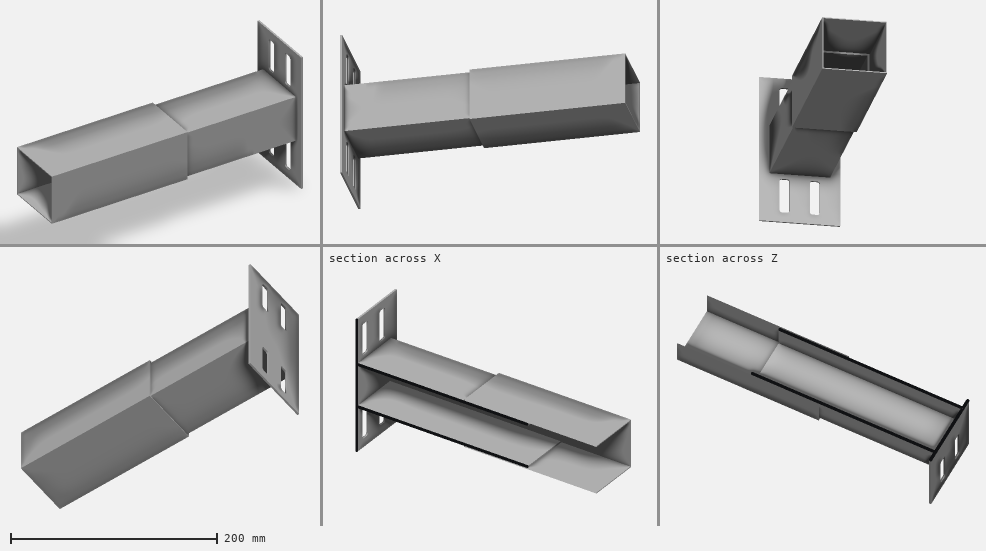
import cadquery as cq

overall_length = 282.0
plate_width = 80.0
plate_height = 150.0
plate_thickness = 2.0

slot_width = 10.0
slot_height = 35.0
slot_corner_radius = 2.5
slot_column_spacing = 30.0
slot_row_spacing = 95.0

tube_width = 60.0
tube_height = 50.0
tube_wall = 2.0
tube_exposed_length = 125.0
tube_insertion = 75.0

sleeve_wall = 1.0
sleeve_clearance = 1.0
sleeve_bore_width = tube_width + 2 * sleeve_clearance
sleeve_bore_height = tube_height + 2 * sleeve_clearance
sleeve_width = sleeve_bore_width + 2 * sleeve_wall
sleeve_height = sleeve_bore_height + 2 * sleeve_wall
sleeve_length = overall_length - plate_thickness - tube_exposed_length

plate_front = overall_length - plate_thickness
tube_length = tube_exposed_length + tube_insertion


def block(width, length, height, start):
    """A box centred in X and Z that runs along +Y from start."""
    return cq.Workplane("XY").box(width, length, height, centered=(True, False, True)).translate((0, start, 0))


def make_slots():
    """The four rounded slots as cutting bodies."""
    slots = cq.Workplane("XY")
    for column in (-1, 1):
        for row in (-1, 1):
            slot = block(slot_width, plate_thickness, slot_height, plate_front)
            slot = slot.edges("|Y").fillet(slot_corner_radius)
            slots = slots.add(
                slot.translate((column * slot_column_spacing / 2, 0, row * slot_row_spacing / 2))
            )
    return slots


def make_bracket():
    """Slotted plate and its tube, as one solid."""
    bracket = block(plate_width, plate_thickness, plate_height, plate_front)
    for slot in make_slots().vals():
        bracket = bracket.cut(cq.Workplane(slot))
    tube_start = plate_front - tube_length
    tube = block(tube_width, tube_length, tube_height, tube_start)
    bore = block(tube_width - 2 * tube_wall, tube_length, tube_height - 2 * tube_wall, tube_start)
    return bracket.union(tube.cut(bore))


def make_sleeve():
    """Thin rectangular sleeve around the free end of the tube."""
    sleeve = block(sleeve_width, sleeve_length, sleeve_height, 0)
    bore = block(sleeve_bore_width, sleeve_length, sleeve_bore_height, 0)
    return sleeve.cut(bore)


bracket = make_bracket()
sleeve = make_sleeve()
result = cq.Compound.makeCompound([bracket.val(), sleeve.val()])